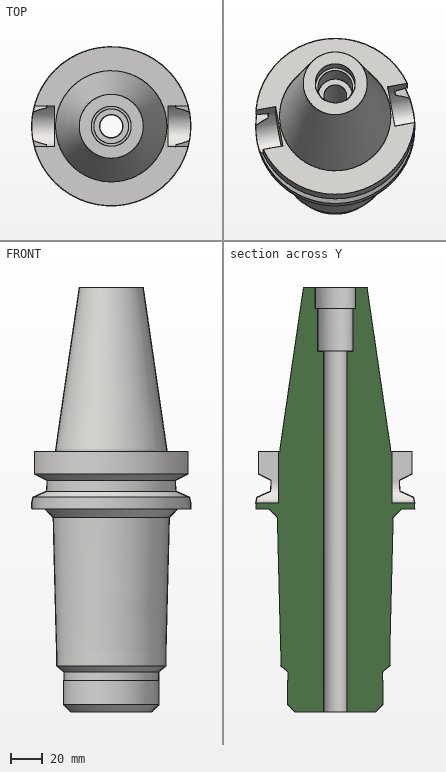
import cadquery as cq

total_length = 267.0
flange_radius = 100.0 / 2

taper_length = 101.7
taper_large_radius = 35.0
taper_small_radius = taper_large_radius - taper_length * 7 / 48
gauge_height = total_length - taper_length

flange_top = gauge_height - 1.3
flange_bottom = 127.5
lower_rim_top = 135.0
groove_radius = 42.5
groove_floor_bottom = 138.8
groove_floor_top = 145.8
upper_rim_bottom = 149.8

flare_radius = 41.7
flare_bottom = 122.3
body_top_radius = 36.5
body_bottom_radius = 34.5
body_taper_bottom = 37.0
body_bottom = 29.0

nose_radius = 30.2
nose_top = 25.4
relief_radius = 30.0
relief_bottom = 20.0
nose_end_radius = 25.4
nose_chamfer_height = 4.8

mouth_radius = 12.5
mouth_depth = 13.0
middle_radius = 11.0
middle_depth = 40.0
through_radius = 7.2

slot_width = 25.5
slot_floor_x = 35.8
slot_bottom = 131.5


def make_holder():
    """Revolve the outer profile, given as (radius, height), about Z."""
    profile = [
        (0, 0),
        (nose_end_radius, 0),
        (nose_radius, nose_chamfer_height),
        (nose_radius, relief_bottom),
        (relief_radius, relief_bottom),
        (relief_radius, nose_top),
        (body_bottom_radius, body_bottom),
        (body_bottom_radius, body_taper_bottom),
        (body_top_radius, flare_bottom),
        (flare_radius, flange_bottom),
        (flange_radius, flange_bottom),
        (flange_radius, lower_rim_top),
        (groove_radius, groove_floor_bottom),
        (groove_radius, groove_floor_top),
        (flange_radius, upper_rim_bottom),
        (flange_radius, flange_top),
        (taper_large_radius, flange_top),
        (taper_large_radius, gauge_height),
        (taper_small_radius, total_length),
        (0, total_length),
    ]
    return cq.Workplane("XZ").polyline(profile).close().revolve(360, (0, 0), (0, 1))


def make_bore(radius, depth):
    """Cylinder reaching down from the small end of the taper."""
    return cq.Workplane("XY").workplane(offset=total_length).circle(radius).extrude(-depth)


def make_drive_slot(side):
    """Round-bottomed radial slot, open at the top and outer side of the flange."""
    arc_height = slot_bottom + slot_width / 2
    half_width = slot_width / 2
    return (
        cq.Workplane("YZ", origin=(side * slot_floor_x, 0, 0))
        .moveTo(-half_width, flange_top)
        .lineTo(-half_width, arc_height)
        .threePointArc((0, slot_bottom), (half_width, arc_height))
        .lineTo(half_width, flange_top)
        .close()
        .extrude(side * flange_radius)
    )


result = make_holder()
bore_steps = [
    (mouth_radius, mouth_depth),
    (middle_radius, middle_depth),
    (through_radius, total_length),
]
for step_radius, step_depth in bore_steps:
    result = result.cut(make_bore(step_radius, step_depth))
for slot_side in (-1, 1):
    result = result.cut(make_drive_slot(slot_side))